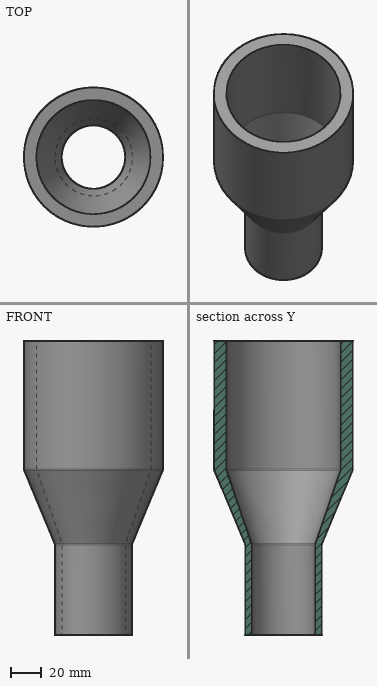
import cadquery as cq

total_height = 190.0
large_diameter = 90.0
large_wall = 8.2
small_diameter = 50.0
small_wall = 4.5
spigot_height = 58.9
socket_height = 83.0
edge_blend = 2.5

cone_top = total_height - socket_height


def reducer_solid(bottom_radius, top_radius):
    """Solid of revolution: narrow cylinder, blended cone, wide cylinder."""
    profile = (
        cq.Workplane("XZ")
        .moveTo(0, 0)
        .lineTo(bottom_radius, 0)
        .lineTo(bottom_radius, spigot_height)
        .lineTo(top_radius, cone_top)
        .lineTo(top_radius, total_height)
        .lineTo(0, total_height)
        .close()
    )
    body = profile.revolve(360, (0, 0, 0), (0, 1, 0))
    cone_ends = cq.selectors.BoxSelector(
        (-large_diameter, -large_diameter, spigot_height / 2),
        (large_diameter, large_diameter, cone_top + socket_height / 2),
    )
    cone_edges = body.edges("%CIRCLE").edges(cone_ends)
    return cone_edges.fillet(edge_blend)


small_radius = small_diameter / 2
large_radius = large_diameter / 2
outer = reducer_solid(small_radius, large_radius)
bore = reducer_solid(small_radius - small_wall, large_radius - large_wall)
result = outer.cut(bore)